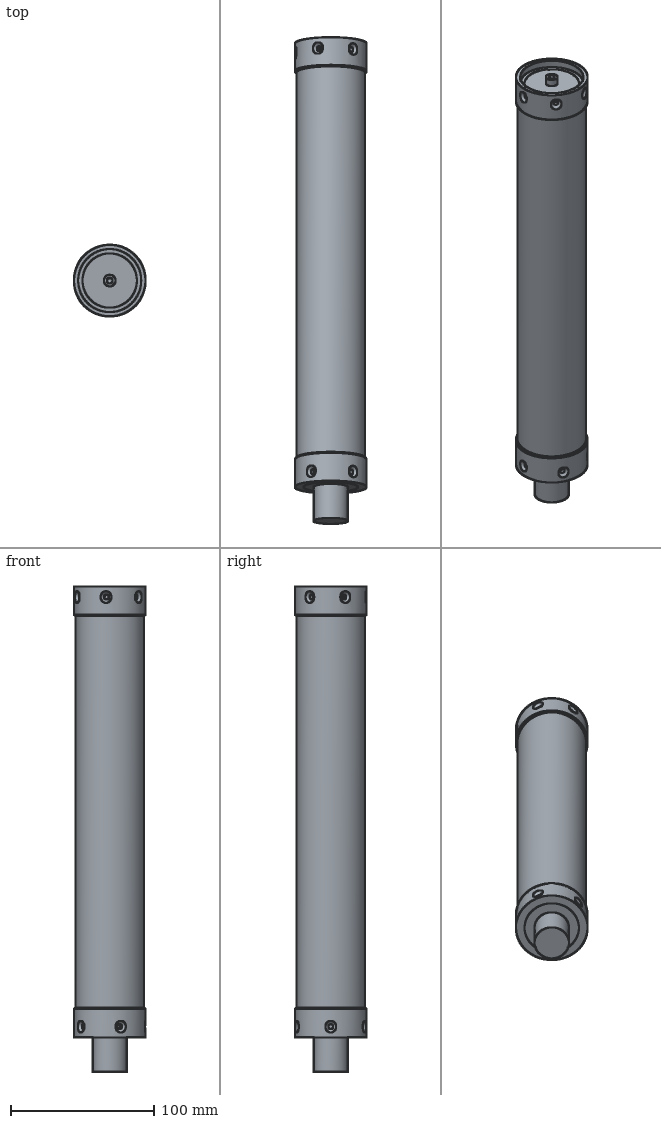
import cadquery as cq

total_length = 338.5
cap_radius = 25.0
cap_height = 20.5
cap_chamfer = 1.0
barrel_radius = 24.0
journal_radius = 19.0
stem_radius = 12.0
stem_length = 24.0

recess_radius = 22.0
recess_depth = 5.0
stud_radius = 4.0
center_radius = 2.0
center_depth = center_radius

screw_radius = 1.7
countersink_radius = 4.0
overshoot = 1.0
screw_inset = 7.5
top_screw_count = 6
top_screw_start = 24.0
bottom_screw_count = 5
bottom_screw_start = 0.0

bottom_cap_base = stem_length
bottom_cap_top = bottom_cap_base + cap_height
top_cap_base = total_length - cap_height
recess_floor = total_length - recess_depth


def cylinder(radius, bottom, top):
    """Upright cylinder on the Z axis between two heights."""
    return cq.Workplane("XY").workplane(offset=bottom).circle(radius).extrude(top - bottom)


def screw_hole(height, angle):
    """Radial through hole with a 90 degree countersink in the outside of a cap."""
    sink_depth = countersink_radius - screw_radius
    outer = cap_radius + overshoot
    mouth = countersink_radius + overshoot
    profile = [
        (0, 0),
        (screw_radius, 0),
        (screw_radius, cap_radius - sink_depth),
        (mouth, outer),
        (0, outer),
    ]
    cutter = cq.Workplane("XY").polyline(profile).close().revolve(360, (0, 0, 0), (0, 1, 0))
    cutter = cutter.rotate((0, 0, 0), (0, 0, 1), angle - 90)
    return cutter.translate((0, 0, height))


def make_cap(bottom, barrel_side, screw_height, screw_count, first_angle):
    """Ring that fits over a journal, chamfered on the barrel side, with evenly spaced screw holes."""
    cap = cylinder(cap_radius, bottom, bottom + cap_height)
    cap = cap.faces(barrel_side).chamfer(cap_chamfer)
    cap = cap.cut(cylinder(journal_radius, bottom, bottom + cap_height))
    for index in range(screw_count):
        cap = cap.cut(screw_hole(screw_height, first_angle + index * 360 / screw_count))
    return cap


def make_body():
    """Barrel with a journal at each end, a stem below and a stud with a conical centre hole on top."""
    body = cylinder(stem_radius, 0, bottom_cap_base)
    body = body.union(cylinder(journal_radius, bottom_cap_base, recess_floor))
    body = body.union(cylinder(barrel_radius, bottom_cap_top, top_cap_base))
    body = body.union(cylinder(stud_radius, recess_floor, total_length))
    center = cq.Solid.makeCone(
        center_radius, 0, center_depth, pnt=cq.Vector(0, 0, total_length), dir=cq.Vector(0, 0, -1)
    )
    return body.cut(cq.Workplane(obj=center))


body = make_body()
bottom_cap = make_cap(
    bottom_cap_base, ">Z", bottom_cap_base + screw_inset, bottom_screw_count, bottom_screw_start
)
top_cap = make_cap(top_cap_base, "<Z", total_length - screw_inset, top_screw_count, top_screw_start)
top_cap = top_cap.cut(cylinder(recess_radius, recess_floor, total_length))

result = cq.Compound.makeCompound([body.val(), bottom_cap.val(), top_cap.val()])